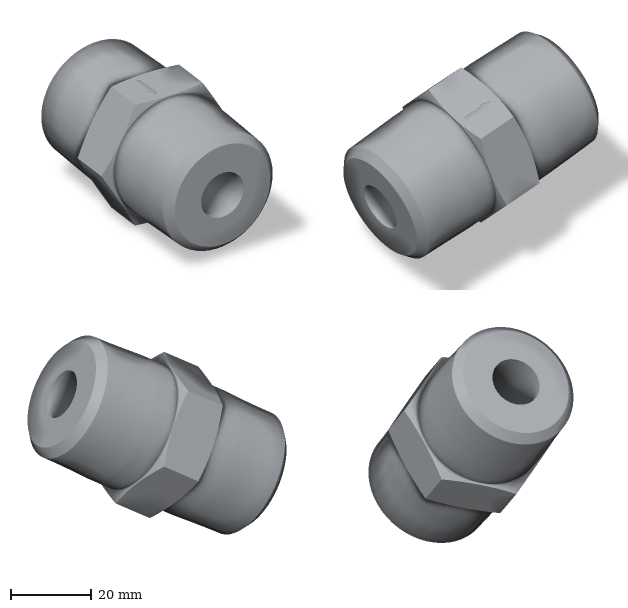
import cadquery as cq
import math

total_length = 59.54
bore_diameter = 12.7

body_diameter = 33.71
taper_length = 14.8
taper_ratio = 1 / 16
chamfer_length = 2.1
end_face_diameter = 28.5

hex_across_flats = 34.925
hex_width = 12.7
hex_chamfer_angle = 20.0

arrow_tail_x = -4.4
arrow_head_x = 1.45
arrow_tip_x = 4.3
arrow_center_y = -2.8
arrow_shaft_width = 0.95
arrow_head_width = 2.1
arrow_depth = 0.127

half_length = total_length / 2
body_radius = body_diameter / 2
thread_radius = body_radius - taper_length * taper_ratio / 2
end_face_radius = end_face_diameter / 2
chamfer_x = half_length - chamfer_length
taper_x = chamfer_x - taper_length
hex_corner_radius = hex_across_flats / math.sqrt(3)


def revolve_about_x(profile):
    """Revolve a closed (x, radius) profile about the X axis."""
    return profile.close().revolve(360, (0, 0, 0), (1, 0, 0))


def make_body():
    """Round body with a tapered, chamfered thread blank at each end."""
    profile = (
        cq.Workplane("XY")
        .moveTo(-half_length, 0)
        .lineTo(-half_length, end_face_radius)
        .lineTo(-chamfer_x, thread_radius)
        .lineTo(-taper_x, body_radius)
        .lineTo(taper_x, body_radius)
        .lineTo(chamfer_x, thread_radius)
        .lineTo(half_length, end_face_radius)
        .lineTo(half_length, 0)
    )
    return revolve_about_x(profile)


def make_hex():
    """Hexagon with flats facing up and down and its corners chamfered on both sides."""
    half_width = hex_width / 2
    prism = (
        cq.Workplane("YZ")
        .polygon(6, 2 * hex_corner_radius)
        .extrude(half_width, both=True)
    )
    start_radius = hex_across_flats / 2
    chamfer_depth = (hex_corner_radius - start_radius) * math.tan(math.radians(hex_chamfer_angle))
    corner_x = half_width - chamfer_depth
    envelope = (
        cq.Workplane("XY")
        .moveTo(-half_width, 0)
        .lineTo(-half_width, start_radius)
        .lineTo(-corner_x, hex_corner_radius)
        .lineTo(corner_x, hex_corner_radius)
        .lineTo(half_width, start_radius)
        .lineTo(half_width, 0)
    )
    return prism.intersect(revolve_about_x(envelope))


def make_bore():
    """Through bore along X."""
    return cq.Workplane("YZ").circle(bore_diameter / 2).extrude(half_length, both=True)


def make_flow_arrow():
    """Shallow arrow-shaped cutter sunk into the top flat of the hexagon."""
    half_shaft = arrow_shaft_width / 2
    half_head = arrow_head_width / 2
    return (
        cq.Workplane("XY")
        .workplane(offset=hex_across_flats / 2)
        .center(0, arrow_center_y)
        .moveTo(arrow_tail_x, -half_shaft)
        .lineTo(arrow_head_x, -half_shaft)
        .lineTo(arrow_head_x, -half_head)
        .lineTo(arrow_tip_x, 0)
        .lineTo(arrow_head_x, half_head)
        .lineTo(arrow_head_x, half_shaft)
        .lineTo(arrow_tail_x, half_shaft)
        .close()
        .extrude(-arrow_depth)
    )


result = make_body().union(make_hex()).cut(make_bore()).cut(make_flow_arrow())